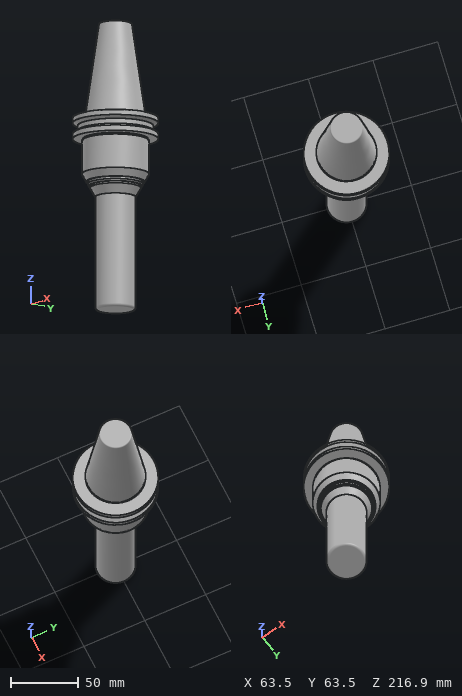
import cadquery as cq
import math


GAUGE_DIAMETER = 44.45
GAUGE_LENGTH = 68.4
TAPER_LENGTH = 70.0
TAPER_RATIO = 7 / 24
TAPER_END_RADIUS = 1.0

RELIEF_DIAMETER = 43.4

FLANGE_DIAMETER = 63.55
FLANGE_TOP_Z = -1.6
FLANGE_THICKNESS = 15.9
GROOVE_FLOOR_DIAMETER = 56.25
GROOVE_CENTRE_Z = -9.5
GROOVE_FLOOR_WIDTH = 3.75
GROOVE_FLANK_ANGLE = 60

BODY_DIAMETER = 50.0
BODY_NECK_LENGTH = 0.6
BODY_CHAMFER_HEIGHT = 0.8
BODY_CHAMFER_ANGLE = 45
BODY_LENGTH = 26.6
NOSE_ANGLE = 30

NOSE_GROOVES = [
    (5.8, 41.3),
    (9.0, 37.9),
]

SHANK_DIAMETER = 30.0
SHANK_END_RADIUS = 2.0
TOTAL_LENGTH = 216.9


def taper():
    """Solid steep taper, rounded at its small end."""
    small_radius = (GAUGE_DIAMETER - GAUGE_LENGTH * TAPER_RATIO) / 2
    large_radius = small_radius + TAPER_LENGTH * TAPER_RATIO / 2
    cone = (
        cq.Workplane("XZ")
        .lineTo(large_radius, 0)
        .lineTo(small_radius, TAPER_LENGTH)
        .lineTo(0, TAPER_LENGTH)
        .close()
        .revolve(360, (0, 0), (0, 1))
    )
    return cone.faces(">Z").edges().fillet(TAPER_END_RADIUS)


def nose_outline(nose_top_z):
    """Points down the grooved nose cone, from the body to the shank."""
    body_radius = BODY_DIAMETER / 2
    shank_radius = SHANK_DIAMETER / 2
    slope = math.tan(math.radians(NOSE_ANGLE))

    points = [(body_radius, nose_top_z)]
    for wall_depth, floor_diameter in NOSE_GROOVES:
        floor_radius = floor_diameter / 2
        floor_end_depth = (body_radius - floor_radius) / slope
        points.append((body_radius - wall_depth * slope, nose_top_z - wall_depth))
        points.append((floor_radius, nose_top_z - wall_depth))
        points.append((floor_radius, nose_top_z - floor_end_depth))
    points.append((shank_radius, nose_top_z - (body_radius - shank_radius) / slope))
    return points


def holder_below_taper():
    """Everything below the taper, as one revolved outline."""
    flange_radius = FLANGE_DIAMETER / 2
    flange_bottom_z = FLANGE_TOP_Z - FLANGE_THICKNESS
    groove_radius = GROOVE_FLOOR_DIAMETER / 2
    floor_half_width = GROOVE_FLOOR_WIDTH / 2
    flank_height = (flange_radius - groove_radius) / math.tan(math.radians(GROOVE_FLANK_ANGLE))
    mouth_half_width = floor_half_width + flank_height

    body_radius = BODY_DIAMETER / 2
    neck_bottom_z = flange_bottom_z - BODY_NECK_LENGTH
    chamfer_depth = BODY_CHAMFER_HEIGHT * math.tan(math.radians(BODY_CHAMFER_ANGLE))
    shank_radius = SHANK_DIAMETER / 2
    nose_top_z = flange_bottom_z - BODY_LENGTH
    shank_bottom_z = TAPER_LENGTH - TOTAL_LENGTH

    outline = [
        (0, 0),
        (RELIEF_DIAMETER / 2, 0),
        (RELIEF_DIAMETER / 2, FLANGE_TOP_Z),
        (flange_radius, FLANGE_TOP_Z),
        (flange_radius, GROOVE_CENTRE_Z + mouth_half_width),
        (groove_radius, GROOVE_CENTRE_Z + floor_half_width),
        (groove_radius, GROOVE_CENTRE_Z - floor_half_width),
        (flange_radius, GROOVE_CENTRE_Z - mouth_half_width),
        (flange_radius, flange_bottom_z),
        (body_radius - chamfer_depth, flange_bottom_z),
        (body_radius - chamfer_depth, neck_bottom_z),
        (body_radius, neck_bottom_z - BODY_CHAMFER_HEIGHT),
        *nose_outline(nose_top_z),
        (shank_radius, shank_bottom_z),
        (0, shank_bottom_z),
    ]
    holder = cq.Workplane("XZ").polyline(outline).close().revolve(360, (0, 0), (0, 1))
    return holder.faces("<Z").edges().fillet(SHANK_END_RADIUS)


result = taper().union(holder_below_taper())